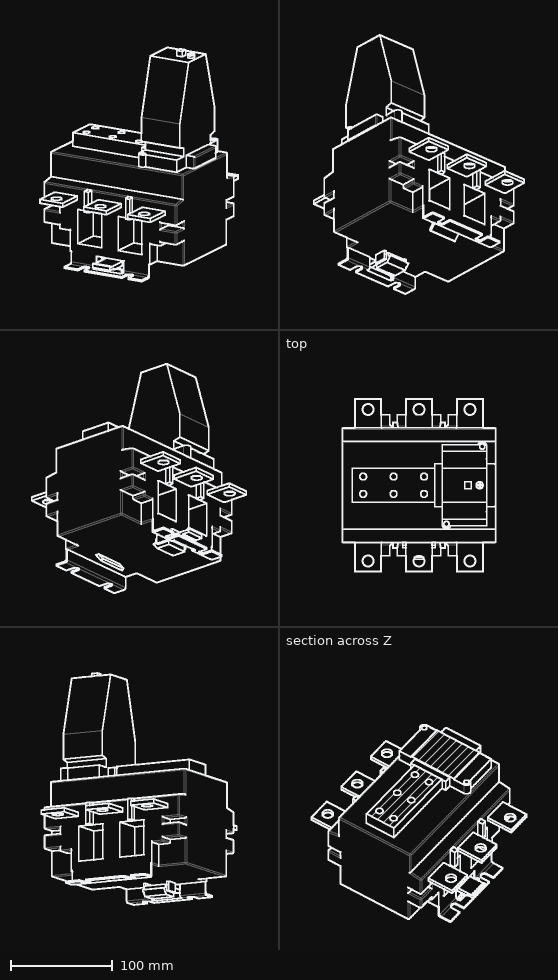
import cadquery as cq
import math

body_length = 151.0
body_bottom_z = 13.3
body_top_z = 108.0
lower_half_width = 56.2
upper_half_width = 43.3
shoulder_outer_z = 80.3
shoulder_inner_z = 82.5
edge_radius = 1.3

corner_half_x = 57.9
corner_half_y = 41.6
relief_half_x = 45.2
slot_bottom_z = 52.6
slot_top_z = 58.7
relief_top_z = 38.7
relief_step_z = 34.9

pole_pitch = 50.0
terminal_width = 25.8
terminal_thickness = 4.0
terminal_bottom_z = 67.8
terminal_tip_y = 84.75
terminal_hole_diameter = 10.6
terminal_hole_inset = 10.4
barrier_outer_x = 25.7
barrier_tip_inner_x = 21.2
barrier_root_inner_x = 20.4
barrier_projection = 5.5
barrier_bottom_z = 57.8
barrier_end_bevel = 0.7
window_center_x = 22.95
window_width = 27.0
window_bottom_z = 23.0
window_top_z = 58.0
window_depth = 30.0

foot_half_length = 44.1
foot_thickness = 1.5
foot_tip_y = 69.4
foot_bend_radius = 2.0
foot_slot_width = 7.3
foot_slot_end_y = 57.2
latch_cutout_half_width = 15.8
latch_cutout_outer_y = 58.8

hook_root_outer_y = 42.3
hook_root_inner_y = 38.6
hook_tip_outer_y = 35.1
hook_tip_outer_z = 5.0
hook_tip_inner_y = 33.4
hook_tip_inner_z = 7.0

lever_half_width = 9.9
slider_half_width = 11.9
guide_half_width = 14.2
guide_inner_y = 35.0
guide_outer_y = 48.1
guide_bottom_z = 4.0
lever_top_z = 10.0
lever_bottom_z = 5.5
lever_neck_y = 64.4
lever_grip_bottom_z = 7.0
lever_grip_slant = 0.8
lever_lip_y = 70.6
lever_lip_top_z = 10.8
lever_tip_y = 72.7
nose_shoulder_y = 31.9
nose_shoulder_z = 6.6
nose_tip_y = 28.8
nose_tip_z = 5.8
nose_foot_y = 33.8
nose_back_y = 48.8
stop_bar_width = 2.4

block_left_x = -65.6
block_right_x = 15.6
block_width = 33.2
block_top_z = 122.0
block_hole_diameter = 6.6
block_hole_depth = 10.0
block_hole_columns = 3
block_hole_first_x = -54.8
block_hole_pitch_x = 29.9
block_hole_pitch_y = 17.0
base_top_z = 120.4
bracket_width = 42.2

handle_left_x = 22.6
handle_right_x = 66.4
handle_top_z = 214.5
handle_top_half_width = 16.6
handle_knee_z = 156.0
handle_half_width = 33.5
handle_skirt_z = 131.0
handle_neck_z = 129.0
handle_neck_half_width = 25.8
base_half_width = 39.8
boss_radius = 4.4
boss_center_y = 38.0
boss_hole_diameter = 5.2
boss_hole_depth = 10.0
button_center_x = 48.0
button_side = 6.5
button_top_z = 220.0
screw_center_x = 59.5
screw_diameter = 6.8
screw_top_z = 217.5
cross_length = 4.6
cross_width = 1.2
cross_depth = 1.2

position_tolerance = 1e-6
SIDES = (-1, 1)


def block(x_from, x_to, y_from, y_to, z_from, z_to):
    """Axis-aligned box between the given limits."""
    size = (x_to - x_from, y_to - y_from, z_to - z_from)
    return cq.Workplane("XY").box(*size, centered=False).translate((x_from, y_from, z_from))


def extrude_along_x(profile, x_from, x_to):
    """Extrude a closed (y, z) polyline along X."""
    return cq.Workplane("YZ", origin=(x_from, 0, 0)).polyline(profile).close().extrude(x_to - x_from)


def mirror_points(half_outline):
    """Close a (y, z) half outline with its mirror image about y = 0."""
    return half_outline + [(-y, z) for y, z in reversed(half_outline)]


def make_body():
    half_outline = [
        (lower_half_width, body_bottom_z),
        (lower_half_width, shoulder_outer_z),
        (upper_half_width, shoulder_inner_z),
        (upper_half_width, body_top_z),
    ]
    half_length = body_length / 2
    body = extrude_along_x(mirror_points(half_outline), -half_length, half_length)
    for side_x in SIDES:
        for side_y in SIDES:
            body = body.cut(corner_relief(side_x, side_y))
    outline = body.faces("<X or >X or <Y or >Y or <Z or >Z").edges()
    rounded = [edge for edge in outline.vals() if not is_relief_side(edge)]
    step_edges = [edge for edge in body.edges("|Y").vals() if is_step_edge(edge)]
    return body.newObject(rounded + step_edges).fillet(edge_radius)


def is_relief_side(edge):
    """True for the upright edges of the front and back faces beside the lower recesses."""
    center = edge.Center()
    upright = edge.BoundingBox().zlen > edge_radius
    at_side = math.isclose(abs(center.x), relief_half_x, abs_tol=position_tolerance)
    at_face = math.isclose(abs(center.y), lower_half_width, abs_tol=position_tolerance)
    return upright and at_side and at_face


def is_step_edge(edge):
    """True for the outward corner of the step in the recess ceiling."""
    center = edge.Center()
    at_wall = math.isclose(abs(center.x), corner_half_x, abs_tol=position_tolerance)
    at_step = math.isclose(center.z, relief_step_z, abs_tol=position_tolerance)
    return at_wall and at_step


def corner_relief(side_x, side_y):
    """Slot and stepped lower recess at one vertical corner."""
    reach_x = body_length
    reach_y = 2 * lower_half_width
    slot = block(corner_half_x, reach_x, corner_half_y, reach_y, slot_bottom_z, slot_top_z)
    recess = block(corner_half_x, reach_x, corner_half_y, reach_y, 0, relief_top_z)
    step = block(relief_half_x, reach_x, corner_half_y, reach_y, 0, relief_step_z)
    relief = slot.union(recess).union(step)
    if side_x < 0:
        relief = relief.mirror("YZ")
    if side_y < 0:
        relief = relief.mirror("XZ")
    return relief


def make_terminals():
    top_z = terminal_bottom_z + terminal_thickness
    hole_y = terminal_tip_y - terminal_hole_inset
    terminals = cq.Workplane("XY")
    for pole in (-1, 0, 1):
        x = pole * pole_pitch
        left = x - terminal_width / 2
        right = x + terminal_width / 2
        bar = block(left, right, -terminal_tip_y, terminal_tip_y, terminal_bottom_z, top_z)
        holes = (
            cq.Workplane("XY", origin=(x, 0, terminal_bottom_z))
            .pushPoints([(0, -hole_y), (0, hole_y)])
            .circle(terminal_hole_diameter / 2)
            .extrude(terminal_thickness)
        )
        terminals = terminals.add(bar.cut(holes))
    return terminals.combine()


def make_barrier():
    """Phase barrier on the +X, +Y quarter; its inner flank and both ends taper."""
    root_y = lower_half_width
    tip_y = lower_half_width + barrier_projection
    plan = [
        (barrier_outer_x, root_y),
        (barrier_outer_x, tip_y),
        (barrier_tip_inner_x, tip_y),
        (barrier_root_inner_x, root_y),
    ]
    side = [
        (root_y, barrier_bottom_z),
        (tip_y, barrier_bottom_z + barrier_end_bevel),
        (tip_y, shoulder_outer_z - barrier_end_bevel),
        (root_y, shoulder_outer_z),
    ]
    flanks = cq.Workplane("XY").polyline(plan).close().extrude(body_top_z)
    return flanks.intersect(extrude_along_x(side, 0, body_length / 2))


def add_barriers(part):
    barrier = make_barrier()
    pair = barrier.union(barrier.mirror("YZ"))
    return part.union(pair).union(pair.mirror("XZ"))


def cut_windows(part):
    half = window_width / 2
    inner_y = lower_half_width - window_depth
    for side in SIDES:
        x = side * window_center_x
        window = block(x - half, x + half, inner_y, lower_half_width, window_bottom_z, window_top_z)
        part = part.cut(window).cut(window.mirror("XZ"))
    return part


def make_foot():
    """Bent sheet foot along the +Y side, with two open fixing slots."""
    outer_y = lower_half_width
    inner_y = outer_y - foot_thickness
    overlap_z = body_bottom_z + foot_thickness
    profile = [
        (inner_y, overlap_z),
        (inner_y, 0),
        (foot_tip_y, 0),
        (foot_tip_y, foot_thickness),
        (outer_y, foot_thickness),
        (outer_y, overlap_z),
    ]
    foot = extrude_along_x(profile, -foot_half_length, foot_half_length)
    outside_bend = cq.selectors.NearestToPointSelector((0, inner_y, 0))
    foot = foot.edges(outside_bend).fillet(foot_bend_radius)
    inside_bend = cq.selectors.NearestToPointSelector((0, outer_y, foot_thickness))
    foot = foot.edges(inside_bend).fillet(foot_bend_radius)
    slot_length = 2 * (foot_tip_y - foot_slot_end_y)
    slots = (
        cq.Workplane("XY")
        .pushPoints([(side * pole_pitch / 2, foot_tip_y) for side in SIDES])
        .slot2D(slot_length, foot_slot_width, 90)
        .extrude(foot_thickness)
    )
    return foot.cut(slots)


def make_latch_foot():
    """Foot of the -Y side, opened in the middle for the rail latch."""
    cutout = block(
        -latch_cutout_half_width,
        latch_cutout_half_width,
        -latch_cutout_outer_y,
        foot_thickness - lower_half_width,
        0,
        body_bottom_z,
    )
    return make_foot().mirror("XZ").cut(cutout)


def make_fixed_hook():
    """Slanted rail hook under the +Y half of the body."""
    profile = [
        (hook_root_outer_y, body_bottom_z),
        (hook_tip_outer_y, hook_tip_outer_z),
        (hook_tip_inner_y, hook_tip_inner_z),
        (hook_root_inner_y, body_bottom_z),
    ]
    return extrude_along_x(profile, -latch_cutout_half_width, latch_cutout_half_width)


def make_latch():
    """Sliding rail latch under the -Y half: guides, nose, pull lever and stop bar."""
    nose_profile = [
        (-nose_shoulder_y, lever_top_z),
        (-nose_shoulder_y, nose_shoulder_z),
        (-nose_tip_y, nose_tip_z),
        (-nose_foot_y, 0),
        (-nose_back_y, 0),
        (-nose_back_y, lever_top_z),
    ]
    lever_profile = [
        (-guide_outer_y, lever_bottom_z),
        (-lever_neck_y, lever_bottom_z),
        (-lever_neck_y - lever_grip_slant, lever_grip_bottom_z),
        (-lever_tip_y, lever_grip_bottom_z),
        (-lever_tip_y, lever_lip_top_z),
        (-lever_lip_y, lever_lip_top_z),
        (-lever_lip_y, lever_top_z),
        (-guide_outer_y, lever_top_z),
    ]
    latch = extrude_along_x(nose_profile, -slider_half_width, slider_half_width)
    latch = latch.union(extrude_along_x(lever_profile, -lever_half_width, lever_half_width))
    guide = block(
        slider_half_width, guide_half_width, -guide_outer_y, -guide_inner_y, guide_bottom_z, body_bottom_z
    )
    latch = latch.union(guide).union(guide.mirror("YZ"))
    stop_bar = block(
        -latch_cutout_half_width,
        latch_cutout_half_width,
        -latch_cutout_outer_y - stop_bar_width,
        -latch_cutout_outer_y,
        foot_thickness,
        lever_bottom_z,
    )
    return latch.union(stop_bar)


def make_terminal_block():
    half = block_width / 2
    base = block(block_left_x, block_right_x, -half, half, body_top_z, block_top_z)
    holes = [
        (block_hole_first_x + column * block_hole_pitch_x, side * block_hole_pitch_y / 2)
        for column in range(block_hole_columns)
        for side in SIDES
    ]
    drills = (
        cq.Workplane("XY", origin=(0, 0, block_top_z))
        .pushPoints(holes)
        .circle(block_hole_diameter / 2)
        .extrude(-block_hole_depth)
    )
    return base.cut(drills)


def make_brackets():
    half = bracket_width / 2
    left = block(block_right_x, handle_left_x, -half, half, body_top_z, base_top_z)
    right = block(handle_right_x, body_length / 2, -half, half, body_top_z, base_top_z)
    rounded_right = right.edges(">X and (not <Z)").fillet(edge_radius)
    return left.union(rounded_right)


def make_handle_base():
    """Handle base with a screw boss bulging from two opposite corners."""
    boss_left_x = handle_left_x + boss_radius
    boss_right_x = handle_right_x - boss_radius
    drop = base_half_width - boss_center_y
    reach = math.sqrt(boss_radius**2 - drop**2)
    boss_far_y = boss_center_y + boss_radius
    base = (
        cq.Workplane("XY", origin=(0, 0, body_top_z - edge_radius))
        .moveTo(handle_left_x, -boss_center_y)
        .threePointArc((boss_left_x, -boss_far_y), (boss_left_x + reach, -base_half_width))
        .lineTo(handle_right_x, -base_half_width)
        .lineTo(handle_right_x, boss_center_y)
        .threePointArc((boss_right_x, boss_far_y), (boss_right_x - reach, base_half_width))
        .lineTo(handle_left_x, base_half_width)
        .close()
        .extrude(base_top_z - body_top_z + edge_radius)
    )
    drills = (
        cq.Workplane("XY", origin=(0, 0, base_top_z))
        .pushPoints([(boss_left_x, -boss_center_y), (boss_right_x, boss_center_y)])
        .circle(boss_hole_diameter / 2)
        .extrude(-boss_hole_depth)
    )
    return base.cut(drills)


def make_handle():
    half_outline = [
        (handle_neck_half_width, base_top_z),
        (handle_neck_half_width, handle_neck_z),
        (handle_half_width, handle_skirt_z),
        (handle_half_width, handle_knee_z),
        (handle_top_half_width, handle_top_z),
    ]
    handle = extrude_along_x(mirror_points(half_outline), handle_left_x, handle_right_x)
    return handle.union(make_button()).union(make_screw())


def make_button():
    half = button_side / 2
    left = button_center_x - half
    right = button_center_x + half
    return block(left, right, -half, half, handle_top_z, button_top_z)


def make_screw():
    """Screw head with a cross recess."""
    head = (
        cq.Workplane("XY", origin=(screw_center_x, 0, handle_top_z))
        .circle(screw_diameter / 2)
        .extrude(screw_top_z - handle_top_z)
    )
    top = cq.Workplane("XY", origin=(screw_center_x, 0, screw_top_z))
    for length, width in ((cross_length, cross_width), (cross_width, cross_length)):
        head = head.cut(top.rect(length, width).extrude(-cross_depth))
    return head


result = add_barriers(make_body())
result = cut_windows(result)
for component in (
    make_terminals(),
    make_foot(),
    make_latch_foot(),
    make_fixed_hook(),
    make_latch(),
    make_terminal_block(),
    make_brackets(),
    make_handle_base(),
    make_handle(),
):
    result = result.union(component)